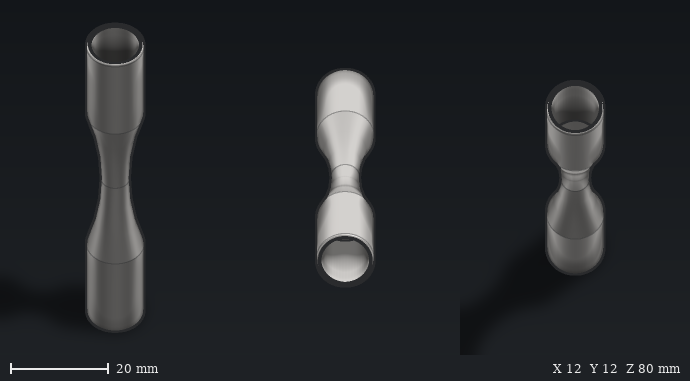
import cadquery as cq
import math

total_length = 80.01
outer_radius = 6.0
half_length = total_length / 2

waist_radius = 3.0
neck_half_length = 19.4
neck_drop = outer_radius - waist_radius
neck_arc_radius = (neck_half_length**2 + neck_drop**2) / (2 * neck_drop)

rim_fillet = 0.5
bore_radius = 5.1
bore_chamfer = 0.3
bore_depth = half_length - neck_half_length
drill_point_angle = 118.0
drill_point_depth = bore_radius / math.tan(math.radians(drill_point_angle / 2))


def neck_radius(height):
    """Radius of the neck, an arc that runs parallel to the axis at the waist."""
    arc_sag = neck_arc_radius - math.sqrt(neck_arc_radius**2 - height**2)
    return waist_radius + arc_sag


def half_body():
    """Solid upper half: concave neck, straight sleeve and rounded rim."""
    neck_middle = neck_half_length / 2
    diagonal = rim_fillet * math.sqrt(0.5)
    rim_inner_radius = outer_radius - rim_fillet
    rim_start = half_length - rim_fillet
    return (
        cq.Workplane("XZ")
        .lineTo(waist_radius, 0)
        .threePointArc((neck_radius(neck_middle), neck_middle), (outer_radius, neck_half_length))
        .lineTo(outer_radius, rim_start)
        .threePointArc(
            (rim_inner_radius + diagonal, rim_start + diagonal),
            (rim_inner_radius, half_length),
        )
        .lineTo(0, half_length)
        .close()
        .revolve(360, (0, 0), (0, 1))
    )


def drilled_bore():
    """Blind bore with a conical drill point and a chamfered mouth, open at the upper end."""
    bore_bottom = half_length - bore_depth
    return (
        cq.Workplane("XZ")
        .moveTo(0, half_length)
        .lineTo(bore_radius + bore_chamfer, half_length)
        .lineTo(bore_radius, half_length - bore_chamfer)
        .lineTo(bore_radius, bore_bottom)
        .lineTo(0, bore_bottom - drill_point_depth)
        .close()
        .revolve(360, (0, 0), (0, 1))
    )


upper_half = half_body().cut(drilled_bore())
lower_half = upper_half.rotate((0, 0, 0), (1, 0, 0), 180)
result = upper_half.union(lower_half)